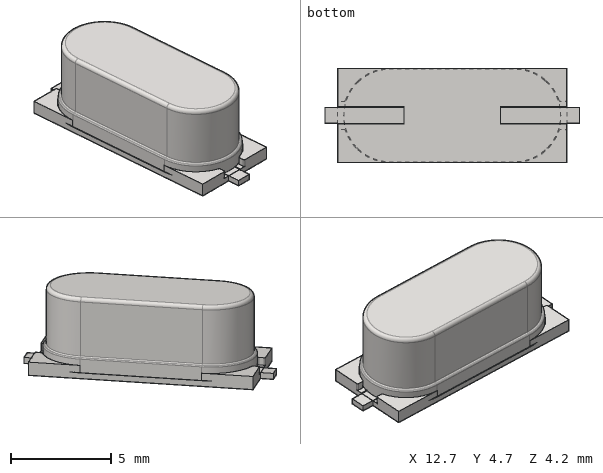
import cadquery as cq

overall_length = 12.7
plate_length = 11.43
plate_width = 4.7
overall_height = 4.2

plate_bottom = 0.04
lead_top = 0.32
pocket_floor = 0.34
plate_top = 0.74
flange_top = 1.1

end_center_spacing = 6.2
can_width = 4.3
flange_width = 4.62
top_fillet = 0.2
rim_fillet = 0.05
root_fillet = 0.06

notch_width = 1.41
notch_corner_fillet = 0.08

lead_width = 0.8
lead_length = 3.94
lead_clearance = 0.04
slot_top = 0.33

margin = 0.01


def oblong(width, bottom, top):
    """Upright solid with straight sides and full-round ends along X."""
    length = end_center_spacing + width
    return cq.Workplane("XY").workplane(offset=bottom).slot2D(length, width).extrude(top - bottom)


def box_between(x_start, x_end, width, bottom, top):
    """Box centred on the X axis, spanning the given X and Z ranges."""
    return cq.Workplane("XY").box(
        x_end - x_start, width, top - bottom, centered=(False, True, False)
    ).translate((x_start, 0, bottom))


def edges_in_box(length, width, bottom, top):
    """Selector for edges lying wholly inside a box centred on the Z axis."""
    return cq.selectors.BoxSelector(
        (-length / 2 - margin, -width / 2 - margin, bottom - margin),
        (length / 2 + margin, width / 2 + margin, top + margin),
        boundingbox=True,
    )


def make_can():
    """Flanged can with a rounded top, a rounded flange rim and a small root fillet."""
    flange = oblong(flange_width, pocket_floor, flange_top).faces(">Z").edges().fillet(rim_fillet)
    body = oblong(can_width, pocket_floor, overall_height).faces(">Z").edges().fillet(top_fillet)
    root_edges = edges_in_box(end_center_spacing + can_width, can_width, flange_top, flange_top)
    return flange.union(body).edges(root_edges).fillet(root_fillet)


def make_plate():
    """Base plate with a full-width pocket for the flange and a notch at each end."""
    half_length = plate_length / 2
    plate = box_between(-half_length, half_length, plate_width, plate_bottom, plate_top)
    notch = box_between(-half_length, half_length, notch_width, pocket_floor, plate_top)
    plate = plate.cut(notch).cut(oblong(plate_width, pocket_floor, plate_top))
    wall_edges = edges_in_box(plate_length, notch_width, pocket_floor, plate_top)
    return plate.edges("|Z").edges(wall_edges).fillet(notch_corner_fillet)


def add_lead(part, side):
    """Cut a lead slot in the underside of one end and butt the lead against its inner end."""
    outer = overall_length / 2
    inner = outer - lead_length
    slot = box_between(
        inner, outer, lead_width + 2 * lead_clearance, plate_bottom, slot_top
    )
    lead = box_between(inner, outer, lead_width, 0, lead_top)
    if side < 0:
        slot = slot.mirror("YZ")
        lead = lead.mirror("YZ")
    return part.cut(slot).union(lead)


result = make_plate()
for side in (-1, 1):
    result = add_lead(result, side)
result = result.union(make_can())